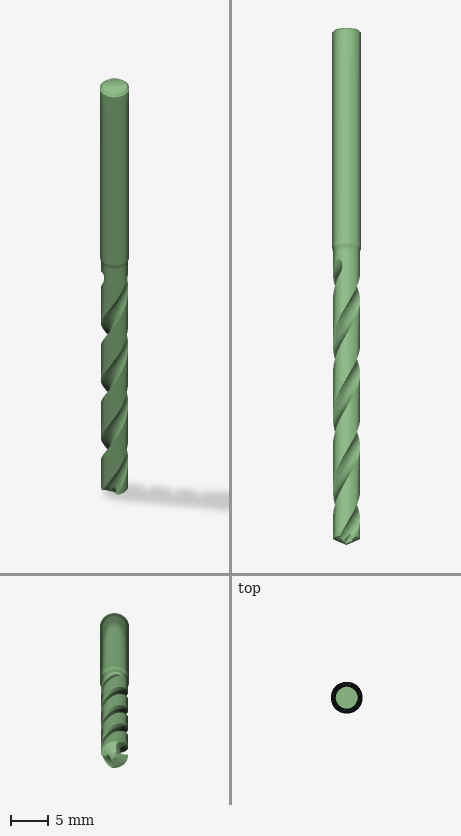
import cadquery as cq
import math

total_length = 71.0
shank_diameter = 4.0
drill_diameter = 3.7
shank_radius = shank_diameter / 2
drill_radius = drill_diameter / 2

joint_height = 31.8
neck_top = 40.55
shoulder_height = 41.2
shank_chamfer = 0.35
point_height = 0.9

flute_count = 2
helix_angle = 30.0
flute_radius = 1.15
flute_end = 36.9
runout_height = 2.85
runout_angle = 38.0
runout_lean = 0.8
flute_start_angle = 102.0
flute_pitch = math.pi * drill_diameter / math.tan(math.radians(helix_angle))
flute_twist = 360.0 * flute_end / flute_pitch

gash_left_height = 0.6
gash_peak_x = 0.7
gash_peak_height = 1.5
gash_width = 1.0
gash_right_height = 1.0
web_half_thickness = 0.3


def revolved(outline):
    """Turn an outline of (radius, height) points about the Z axis."""
    return cq.Workplane("XZ").polyline(outline).close().revolve(360, (0, 0), (0, 1))


def point_at(radius, angle):
    """X and Y of a point given by its radius and its angle in degrees."""
    return radius * math.cos(math.radians(angle)), radius * math.sin(math.radians(angle))


def flute_cutter(start_angle):
    """Right-hand helical groove whose round section is centred on the drill surface."""
    x, y = point_at(drill_radius, start_angle)
    return (
        cq.Workplane("XY")
        .moveTo(x, y)
        .circle(flute_radius)
        .twistExtrude(flute_end, flute_twist)
    )


def runout_cutter(start_angle):
    """Straight end of a flute, tilted sideways while leaning outward."""
    end_angle = start_angle + flute_twist
    x, y = point_at(drill_radius, end_angle)
    sideways = runout_height * math.tan(math.radians(runout_angle))
    out_x, out_y = point_at(runout_lean, end_angle)
    side_x, side_y = point_at(sideways, end_angle + 90)
    section = cq.Wire.makeCircle(flute_radius, cq.Vector(x, y, flute_end), cq.Vector(0, 0, 1))
    travel = cq.Vector(out_x + side_x, out_y + side_y, runout_height)
    return cq.Workplane(cq.Solid.extrudeLinear(section, [], travel))


def cut_flutes(body):
    """Cut the evenly spaced flutes and their run-outs."""
    for index in range(flute_count):
        angle = flute_start_angle + index * 360.0 / flute_count
        body = body.cut(flute_cutter(angle)).cut(runout_cutter(angle))
    return body


def gash_cutter(turn):
    """Small peaked notch that thins the web at the point, turned about the axis."""
    return (
        cq.Workplane("XZ", origin=(0, -web_half_thickness, 0))
        .polyline([
            (0, 0),
            (0, gash_left_height),
            (gash_peak_x, gash_peak_height),
            (gash_width, gash_right_height),
            (gash_width, 0),
        ])
        .close()
        .extrude(drill_radius)
        .rotate((0, 0, 0), (0, 0, 1), turn)
    )


def cut_gashes(body):
    """Cut one gash per flute at the point."""
    for index in range(flute_count):
        body = body.cut(gash_cutter(index * 360.0 / flute_count))
    return body


def make_drill():
    """Whole fluted drill: conical point, drill diameter, tapered shoulder and plain shank."""
    blank = revolved([
        (0, 0),
        (drill_radius, point_height),
        (drill_radius, neck_top),
        (shank_radius, shoulder_height),
        (shank_radius, total_length - shank_chamfer),
        (shank_radius - shank_chamfer, total_length),
        (0, total_length),
    ])
    return cut_gashes(cut_flutes(blank))


def slice_between(body, bottom, top):
    """Part of a body between two heights."""
    slab = cq.Workplane("XY").workplane(offset=bottom).circle(shank_diameter).extrude(top - bottom)
    return body.intersect(slab)


def make_cutting_head(drill):
    """Fluted lower part, below the joint."""
    return slice_between(drill, 0, joint_height)


def make_shank(drill):
    """Upper part with the flute ends and the plain shank, above the joint."""
    return slice_between(drill, joint_height, total_length)


drill = make_drill()
cutting_head = make_cutting_head(drill)
shank = make_shank(drill)

result = cq.Compound.makeCompound([*cutting_head.vals(), *shank.vals()])